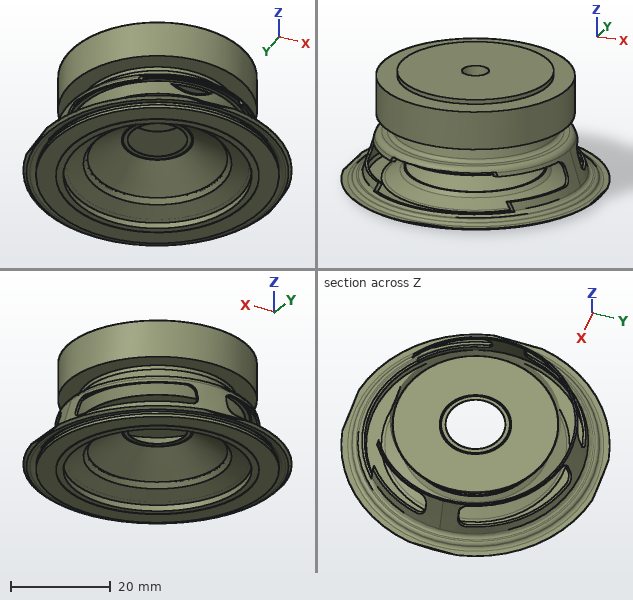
import cadquery as cq
import math


total_height = 24.7
surround_seat = 0.8
front_plate_bottom = 14.75
magnet_bottom = 15.65
magnet_top = 23.75

back_plate_diameter = 31.5
magnet_diameter = 40.0
front_plate_diameter = 32.0
pole_diameter = 11.8
motor_bore = 12.0
vent_mouth_diameter = 5.45
vent_floor_diameter = 4.4
vent_depth = 2.95

sheet = 0.5
flange_width = 53.0
flange_diameter = 54.0
flange_foot_radius = 26.35
flange_top = surround_seat + sheet
step_top = 2.3
step_top_radius = 24.55
step_foot_radius = 25.2
wall_foot_radius = 22.9
shoulder_top = 11.65
shoulder_radius = 20.0
neck_foot_radius = 17.0
neck_top_radius = front_plate_diameter / 2
small_bend = 1.0
shoulder_bend = 1.5

slot_bottom = 4.65
slot_top = 9.75
slot_corner = 1.85
post_width = 6.9
window_plane = -16.95
window_bottom = 2.7
window_top = 10.65

spider_sheet = 0.1
spider_bottom = 8.7
spider_floor_radius = 16.7
spider_mouth_radius = 17.7
spider_rim_radius = 18.55

cone_top = spider_bottom
cone_top_radius = 7.2
cone_foot = 4.15
cone_foot_radius = 14.35
cone_wall = 0.3

surround_lip = 3.35
surround_lip_radius = 15.2
surround_flat = 1.65
surround_foot_radius = 18.9
surround_toe = 1.85
surround_toe_radius = 18.3
surround_skin = 0.3
gutter_radius = 43.9 / 2
gutter_rim = 2.45
gutter_rim_radius = 22.35
ring_radius = 48.85 / 2
ring_bottom = 0.1
ring_neck_radius = 23.95
bead_radius = 20.4


def cylinder(diameter, bottom, top):
    return cq.Workplane("XY").workplane(offset=bottom).circle(diameter / 2).extrude(top - bottom)


def revolve_outline(outline):
    """Turn a closed outline of (radius, height) around the Z axis."""
    return outline.close().revolve(360, (0, 0, 0), (0, 1, 0))


def revolve_points(points):
    return revolve_outline(cq.Workplane("XZ").polyline(points))


def unit_direction(start, end):
    length = math.dist(start, end)
    return (end[0] - start[0]) / length, (end[1] - start[1]) / length


def offset_path(path, distance):
    """Move a sharp path sideways, to the right of its direction of travel, keeping its corners sharp."""
    directions = [unit_direction(a, b) for a, b in zip(path, path[1:])]
    normals = [(dy, -dx) for dx, dy in directions]
    before = [normals[0]] + normals
    after = normals + [normals[-1]]
    moved = []
    for (x, y), (ax, ay), (bx, by) in zip(path, before, after):
        reach = distance / (1 + ax * bx + ay * by)
        moved.append((x + reach * (ax + bx), y + reach * (ay + by)))
    return moved


def draw_rounded_path(outline, path, radii):
    """Draw lines through the path after its first point, with a tangent arc at each inner corner."""
    for before, corner, after, radius in zip(path, path[1:], path[2:], radii):
        back = unit_direction(corner, before)
        ahead = unit_direction(corner, after)
        half_angle = math.acos(back[0] * ahead[0] + back[1] * ahead[1]) / 2
        tangent = radius / math.tan(half_angle)
        bisector = unit_direction((0, 0), (back[0] + ahead[0], back[1] + ahead[1]))
        middle = radius / math.sin(half_angle) - radius
        outline = (
            outline.lineTo(corner[0] + tangent * back[0], corner[1] + tangent * back[1])
            .threePointArc(
                (corner[0] + middle * bisector[0], corner[1] + middle * bisector[1]),
                (corner[0] + tangent * ahead[0], corner[1] + tangent * ahead[1]),
            )
        )
    return outline.lineTo(*path[-1])


def make_back_plate():
    plate = cylinder(back_plate_diameter, magnet_top, total_height)
    pole = cylinder(pole_diameter, front_plate_bottom, magnet_top)
    vent_floor = total_height - vent_depth
    vent = revolve_points([
        (0, vent_floor),
        (vent_floor_diameter / 2, vent_floor),
        (vent_mouth_diameter / 2, total_height),
        (0, total_height),
    ])
    return plate.union(pole).cut(vent)


def make_motor_ring(diameter, bottom, top):
    return cylinder(diameter, bottom, top).cut(cylinder(motor_bore, bottom, top))


def make_basket_sheet():
    """The pressed sheet before its openings, from the flange up to the neck."""
    neck_slope = (neck_foot_radius - neck_top_radius) / (front_plate_bottom - shoulder_top)
    overrun = 0.55
    outer = [
        (neck_top_radius - overrun * neck_slope, front_plate_bottom + overrun),
        (neck_foot_radius, shoulder_top),
        (shoulder_radius, shoulder_top),
        (wall_foot_radius, step_top),
        (step_top_radius, step_top),
        (step_foot_radius, flange_top),
        (flange_diameter / 2, flange_top),
    ]
    inner = offset_path(outer, sheet)
    inner[-1] = (flange_foot_radius, surround_seat)
    bends = [
        (small_bend, sheet),
        (shoulder_bend, -sheet),
        (small_bend, sheet),
        (small_bend, -sheet),
        (small_bend, sheet),
    ]
    outer_radii = [radius for radius, change in bends]
    inner_radii = [radius + change for radius, change in bends]
    outline = draw_rounded_path(cq.Workplane("XZ").moveTo(*outer[0]), outer, outer_radii)
    outline = outline.lineTo(*inner[-1])
    outline = draw_rounded_path(outline, inner[::-1], inner_radii[::-1])
    blank = cq.Workplane("XY").box(flange_width, flange_width, 2 * front_plate_bottom)
    return revolve_outline(outline).intersect(blank)


def make_post(plane):
    """A bar along the normal of the plane that widens with a round at its top and foot."""
    half = post_width / 2
    flare = half + slot_corner
    bend = slot_corner * (1 - math.sqrt(0.5))
    return (
        cq.Workplane(plane)
        .moveTo(-flare, slot_bottom)
        .threePointArc((-half - bend, slot_bottom + bend), (-half, slot_bottom + slot_corner))
        .lineTo(-half, slot_top - slot_corner)
        .threePointArc((-half - bend, slot_top - bend), (-flare, slot_top))
        .lineTo(flare, slot_top)
        .threePointArc((half + bend, slot_top - bend), (half, slot_top - slot_corner))
        .lineTo(half, slot_bottom + slot_corner)
        .threePointArc((half + bend, slot_bottom + bend), (flare, slot_bottom))
        .close()
        .extrude(flange_width / 2, both=True)
    )


def make_window():
    """The opening cut straight across the -Y side of the basket and the spider."""
    depth = flange_width / 2 + window_plane
    return cq.Workplane("XY").box(
        flange_width, depth, window_top - window_bottom, centered=(True, False, False)
    ).translate((0, -flange_width / 2, window_bottom))


def make_basket():
    slots = cylinder(flange_width, slot_bottom, slot_top)
    for plane in ("XZ", "YZ"):
        slots = slots.cut(make_post(plane))
    return make_basket_sheet().cut(slots).cut(make_window())


def make_spider():
    rim_top = shoulder_top - sheet
    cup = revolve_points([
        (motor_bore / 2, spider_bottom),
        (spider_floor_radius, spider_bottom),
        (spider_mouth_radius, rim_top - spider_sheet),
        (spider_rim_radius, rim_top - spider_sheet),
        (spider_rim_radius, rim_top),
        (spider_mouth_radius - spider_sheet, rim_top),
        (spider_floor_radius - spider_sheet, spider_bottom + spider_sheet),
        (motor_bore / 2, spider_bottom + spider_sheet),
    ])
    return cup.cut(make_window())


def make_cone():
    return revolve_points([
        (cone_top_radius, cone_top),
        (cone_foot_radius, cone_foot),
        (cone_foot_radius - cone_wall, cone_foot),
        (cone_top_radius - cone_wall, cone_top),
    ])


def make_surround():
    return revolve_points([
        (cone_foot_radius - cone_wall, cone_foot),
        (cone_foot_radius, cone_foot),
        (surround_lip_radius, surround_lip),
        (surround_toe_radius, surround_toe),
        (surround_foot_radius, surround_flat),
        (gutter_radius, surround_flat),
        (gutter_rim_radius, gutter_rim),
        (gutter_rim_radius, step_top - sheet),
        (ring_neck_radius, step_top - sheet),
        (ring_neck_radius, surround_seat),
        (ring_radius, surround_seat),
        (ring_radius, ring_bottom),
        (bead_radius, ring_bottom),
        (bead_radius, 0),
        (surround_foot_radius, 0),
        (surround_foot_radius, surround_flat - surround_skin),
        (surround_lip_radius - surround_skin, surround_lip - surround_skin),
    ])


back_plate = make_back_plate()
magnet = make_motor_ring(magnet_diameter, magnet_bottom, magnet_top)
front_plate = make_motor_ring(front_plate_diameter, front_plate_bottom, magnet_bottom)
basket = make_basket()
spider = make_spider()
cone = make_cone()
surround = make_surround()

bodies = [back_plate, magnet, front_plate, basket, spider, cone, surround]
result = cq.Compound.makeCompound([body.solids().val() for body in bodies])